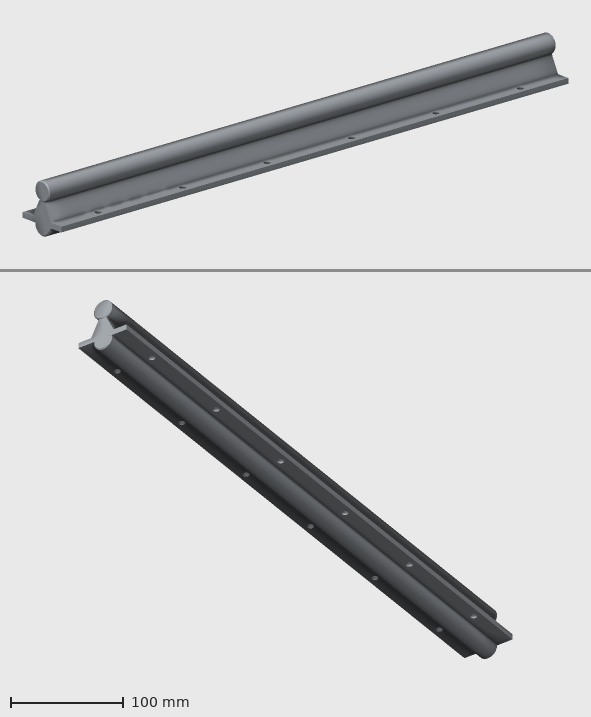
import cadquery as cq

length = 600
height = 52.0
flange_width = 52.0

shaft_diameter = 20.0
shaft_radius = shaft_diameter / 2
shaft_chamfer = 1.0
lower_shaft_z = shaft_radius
upper_shaft_z = height - shaft_radius

flange_bottom_z = 11.0
flange_thickness = 5.5
flange_top_z = flange_bottom_z + flange_thickness
web_foot_width = 24.5
web_neck_width = 8.5
web_neck_z = 32.5

saddle_inner_diameter = 15.0

hole_diameter = 6.5
holes_per_side = 6
hole_pitch = length / holes_per_side
hole_row_spacing = 37.0


def make_bar(diameter, center_z):
    """Full-length round bar along Y."""
    plane = cq.Workplane("XZ", origin=(0, length / 2, center_z))
    return plane.circle(diameter / 2).extrude(length)


def make_shaft(center_z):
    """Round bar with both ends chamfered."""
    return make_bar(shaft_diameter, center_z).faces("|Y").chamfer(shaft_chamfer)


def make_support():
    """Flanged rail with a tapered web and a round seat at its top and bottom."""
    half_flange = flange_width / 2
    half_foot = web_foot_width / 2
    half_neck = web_neck_width / 2
    outline = [
        (-half_flange, flange_bottom_z),
        (half_flange, flange_bottom_z),
        (half_flange, flange_top_z),
        (half_foot, flange_top_z),
        (half_neck, web_neck_z),
        (half_neck, upper_shaft_z),
        (-half_neck, upper_shaft_z),
        (-half_neck, web_neck_z),
        (-half_foot, flange_top_z),
        (-half_flange, flange_top_z),
    ]
    support = cq.Workplane("XZ", origin=(0, length / 2, 0)).polyline(outline).close().extrude(length)

    for seat_z in (lower_shaft_z, upper_shaft_z):
        support = support.cut(make_bar(shaft_diameter, seat_z))

    holes = (
        cq.Workplane("XY", origin=(0, 0, flange_bottom_z))
        .rarray(hole_row_spacing, hole_pitch, 2, holes_per_side)
        .circle(hole_diameter / 2)
        .extrude(flange_thickness)
    )
    return support.cut(holes)


def make_saddle():
    """Arched strip sunk into the top of the lower shaft, ending level with the flange undersides."""
    ring = make_bar(shaft_diameter, lower_shaft_z).cut(make_bar(saddle_inner_diameter, lower_shaft_z))
    above_flange_bottom = (
        cq.Workplane("XY", origin=(0, 0, flange_bottom_z))
        .rect(shaft_diameter, length)
        .extrude(shaft_diameter)
    )
    return ring.intersect(above_flange_bottom)


saddle = make_saddle()
lower_shaft = make_shaft(lower_shaft_z).cut(saddle)
upper_shaft = make_shaft(upper_shaft_z)
support = make_support()

result = cq.Compound.makeCompound([lower_shaft.val(), upper_shaft.val(), saddle.val(), support.val()])